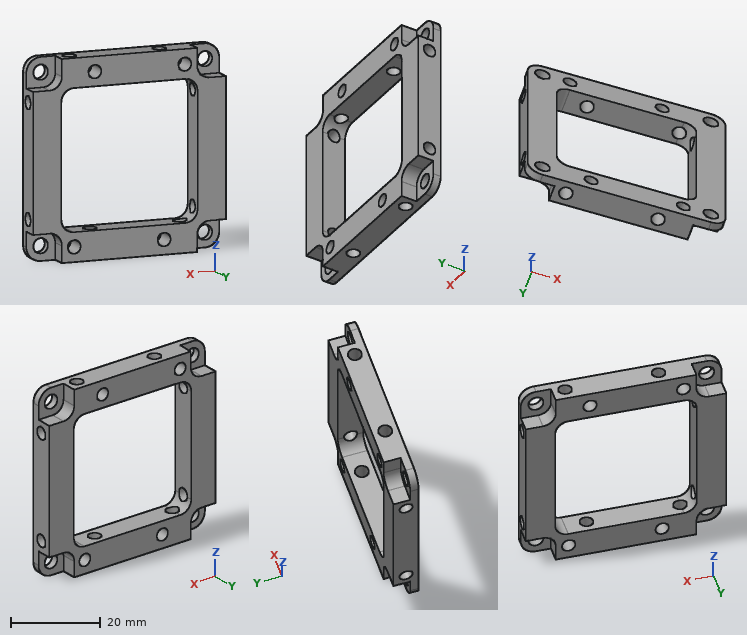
import cadquery as cq

side = 46.8
depth = 6.0
flange_thickness = 2.0
corner_radius = 3.5

wall = 6.9
opening = side - 2 * wall
opening_radius = 3.0

notch_size = 7.0
notch_radius = 3.0

mount_diameter = 3.5
screw_diameter = 3.1
mount_offset = side / 2 - corner_radius
near_offset = 8.4
far_offset = 13.4

half_side = side / 2
front_y = -depth / 2
back_y = depth / 2
flange_back_y = front_y + flange_thickness


def prism(width, height, x, z, start_y, end_y, radius):
    """Box centred at (x, z), from start_y to end_y, with its Y edges rounded."""
    box = cq.Workplane("XY").box(width, end_y - start_y, height)
    box = box.edges("|Y").fillet(radius)
    return box.translate((x, (start_y + end_y) / 2, z))


def hole(diameter, length, start, direction):
    """Cylinder used to drill a hole."""
    cylinder = cq.Solid.makeCylinder(diameter / 2, length, cq.Vector(*start), cq.Vector(*direction))
    return cq.Workplane(cylinder)


def frame():
    """Rounded flange with a sharp-cornered body behind it and a through opening."""
    flange = prism(side, side, 0, 0, front_y, flange_back_y, corner_radius)
    body_depth = depth - flange_thickness
    body = cq.Workplane("XY").box(side, body_depth, side)
    body = body.translate((0, flange_back_y + body_depth / 2, 0))
    return flange.union(body).cut(prism(opening, opening, 0, 0, front_y, back_y, opening_radius))


def cut_corner(part, x_sign, z_sign):
    """Clear one back corner down to the flange and drill its mounting hole."""
    notch = prism(2 * notch_size, 2 * notch_size, x_sign * half_side, z_sign * half_side,
                  flange_back_y, back_y, notch_radius)
    start = (x_sign * mount_offset, front_y, z_sign * mount_offset)
    return part.cut(notch).cut(hole(mount_diameter, depth, start, (0, 1, 0)))


def drill_crossbar(part, z_sign):
    """Drill the top or bottom bar; its Y and Z holes are staggered to miss each other."""
    for x in (-z_sign * far_offset, z_sign * near_offset):
        start = (x, front_y, z_sign * mount_offset)
        part = part.cut(hole(screw_diameter, depth, start, (0, 1, 0)))
    for x in (-z_sign * near_offset, z_sign * far_offset):
        start = (x, 0, z_sign * half_side)
        part = part.cut(hole(screw_diameter, half_side, start, (0, 0, -z_sign)))
    return part


def drill_uprights(part):
    """Drill holes along X straight through both side bars."""
    for z in (-far_offset, far_offset):
        part = part.cut(hole(screw_diameter, side, (-half_side, 0, z), (1, 0, 0)))
    return part


result = frame()
for z_side in (-1, 1):
    for x_side in (-1, 1):
        result = cut_corner(result, x_side, z_side)
    result = drill_crossbar(result, z_side)
result = drill_uprights(result)